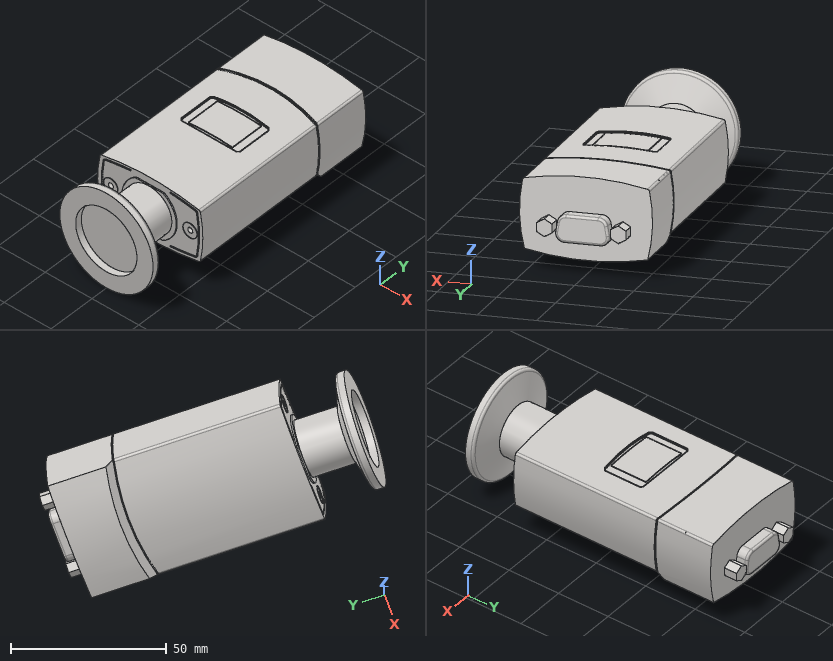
import cadquery as cq
import math


flange_diameter = 40.0
flange_rim = 2.3
flange_edge = 1.0
flange_cone_end = 6.0
bore_diameter = 26.2
bore_depth = 2.8
neck_diameter = 19.5
collar_diameter = 23.2
collar_thickness = 0.5
collar_height = 19.9

body_width = 45.0
body_height = 26.1
crown_radius = 101.8
side_radius = 51.5
corner_radius = 1.0
body_front = 21.4
body_back = 101.1

cap_drop = 2.1
seam_y = 78.3
seam_half_height = 10.6
seam_gap = 0.4
seam_depth = 0.3

panel_top_margin = 1.3
panel_side_margin = 1.6
panel_corner_radius = 1.1
panel_groove_width = 0.3
panel_groove_depth = 0.3
panel_groove_break = 17.0

screw_spacing = 33.9
screw_head_diameter = 6.0
screw_head_recess = 0.2
screw_socket_diameter = 2.1
screw_socket_depth = 2.1

window_width = 25.2
window_side_length = 15.7
window_bulge = 0.6
window_corner_radius = 1.3
window_y = 58.0
window_lip = 0.26
window_lip_depth = 0.3
window_depth = 0.6
display_width = 18.9
display_length = 14.2
display_depth = 0.3

connector_z = -3.8
shell_height = 9.4
shell_base_width = 19.4
shell_side_angle = 10.0
shell_corner_radius = 3.1
shell_end_radius = 0.8
shell_end = 105.4
post_spacing = 25.0
post_across_flats = 5.2
post_end = 106.0


def plane_at(y):
    """Plane across the Y axis, with local x along +X, local y along +Z and normal along -Y."""
    return cq.Workplane("XZ", origin=(0, y, 0))


def disc(diameter, y_start, y_end, x=0.0, z=0.0):
    return plane_at(y_start).center(x, z).circle(diameter / 2).extrude(y_start - y_end)


def block(width, y_start, y_end, height):
    return plane_at(y_start).rect(width, height).extrude(y_start - y_end)


def barrel(y_start, y_end, top_inset=0.0, side_inset=0.0, drop=0.0):
    """Solid bounded by two crowned faces and two bowed sides; drop lowers the bottom crown."""
    crown_r = crown_radius - top_inset
    side_r = side_radius - side_inset
    crown_z = crown_radius - body_height / 2
    side_x = side_radius - body_width / 2
    solid = disc(2 * crown_r, y_start, y_end, z=-crown_z)
    solid = solid.intersect(disc(2 * crown_r, y_start, y_end, z=crown_z - drop))
    left_side = disc(2 * side_r, y_start, y_end, x=side_x)
    return solid.intersect(left_side).intersect(left_side.mirror("YZ"))


def region_behind_seam(y):
    """Everything behind a seam that runs straight down the sides and back at 45 degrees above and below."""
    reach = body_height
    slope_run = reach - seam_half_height
    return (
        cq.Workplane("YZ")
        .moveTo(y + slope_run, -reach)
        .lineTo(y, -seam_half_height)
        .lineTo(y, seam_half_height)
        .lineTo(y + slope_run, reach)
        .lineTo(2 * body_back, reach)
        .lineTo(2 * body_back, -reach)
        .close()
        .extrude(body_width, both=True)
    )


def make_body():
    housing = barrel(body_front, body_back).edges("|Y").fillet(corner_radius)
    housing = housing.cut(region_behind_seam(seam_y))
    cap = barrel(body_front, body_back, drop=cap_drop).edges("|Y").edges(">Z").fillet(corner_radius)
    cap = cap.intersect(region_behind_seam(seam_y + seam_gap))
    core = barrel(body_front, body_back, seam_depth, seam_depth)
    return housing.union(core).union(cap)


def make_panel_groove():
    groove_end = body_front + panel_groove_depth
    outer = barrel(body_front, groove_end, panel_top_margin, panel_side_margin)
    inner = barrel(
        body_front,
        groove_end,
        panel_top_margin + panel_groove_width,
        panel_side_margin + panel_groove_width,
    )
    outer = outer.edges("|Y").fillet(panel_corner_radius)
    inner = inner.edges("|Y").fillet(panel_corner_radius - panel_groove_width)
    bridge = block(panel_groove_break, body_front, groove_end, body_height)
    return outer.cut(inner).cut(bridge)


def make_screw_recess(x):
    head = disc(screw_head_diameter, body_front, body_front + screw_head_recess, x=x)
    socket = disc(screw_socket_diameter, body_front, body_front + screw_socket_depth, x=x)
    return head.union(socket)


def window_prism(inset):
    """Upright prism with straight sides and bowed ends."""
    half_width = window_width / 2 - inset
    half_side = window_side_length / 2 - inset
    return (
        cq.Workplane("XY", origin=(0, window_y, 0))
        .moveTo(-half_width, -half_side)
        .threePointArc((0, -half_side - window_bulge), (half_width, -half_side))
        .lineTo(half_width, half_side)
        .threePointArc((0, half_side + window_bulge), (-half_width, half_side))
        .close()
        .extrude(body_height)
        .edges("|Z")
        .fillet(window_corner_radius - inset)
    )


def make_window_recess():
    lip = window_prism(0).cut(barrel(body_front, body_back, window_lip_depth))
    frame = window_prism(window_lip).cut(barrel(body_front, body_back, window_depth))
    display = (
        cq.Workplane("XY", origin=(0, window_y, 0))
        .rect(display_width, display_length)
        .extrude(body_height)
        .intersect(barrel(body_front, body_back, display_depth))
    )
    return lip.union(frame).cut(display)


def make_flange():
    """Revolved flange with a rounded rim, a conical back and a neck that reaches into the body."""
    rim_radius = flange_diameter / 2
    neck_radius = neck_diameter / 2
    edge_bulge = flange_edge * math.sqrt(0.5)
    profile = (
        cq.Workplane("XY")
        .lineTo(rim_radius, 0)
        .lineTo(rim_radius, flange_rim)
        .threePointArc(
            (rim_radius - flange_edge + edge_bulge, flange_rim + edge_bulge),
            (rim_radius - flange_edge, flange_rim + flange_edge),
        )
        .lineTo(neck_radius, flange_cone_end)
        .lineTo(neck_radius, body_front)
        .lineTo(0, body_front)
        .close()
    )
    flange = profile.revolve(360, (0, 0, 0), (0, 1, 0))
    return flange.cut(disc(bore_diameter, 0, bore_depth))


def make_collar():
    collar_start = body_front - collar_thickness
    collar = disc(collar_diameter, collar_start, body_front)
    return collar.intersect(block(body_width, collar_start, body_front, collar_height))


def make_connector_shell():
    half_base = shell_base_width / 2
    half_top = half_base - shell_height * math.tan(math.radians(shell_side_angle))
    bottom = connector_z - shell_height / 2
    top = connector_z + shell_height / 2
    return (
        plane_at(body_back)
        .polyline([(-half_base, bottom), (half_base, bottom), (half_top, top), (-half_top, top)])
        .close()
        .extrude(body_back - shell_end)
        .edges("|Y")
        .fillet(shell_corner_radius)
        .faces(">Y")
        .edges()
        .fillet(shell_end_radius)
    )


def make_jack_post(x):
    across_corners = post_across_flats / math.cos(math.radians(30))
    return (
        plane_at(body_back)
        .center(x, connector_z)
        .transformed(rotate=(0, 0, 90))
        .polygon(6, across_corners)
        .extrude(body_back - post_end)
    )


result = make_body().cut(make_panel_groove()).cut(make_window_recess())
for side in (-1, 1):
    result = result.cut(make_screw_recess(side * screw_spacing / 2))
    result = result.union(make_jack_post(side * post_spacing / 2))
result = result.union(make_connector_shell()).union(make_collar()).union(make_flange())